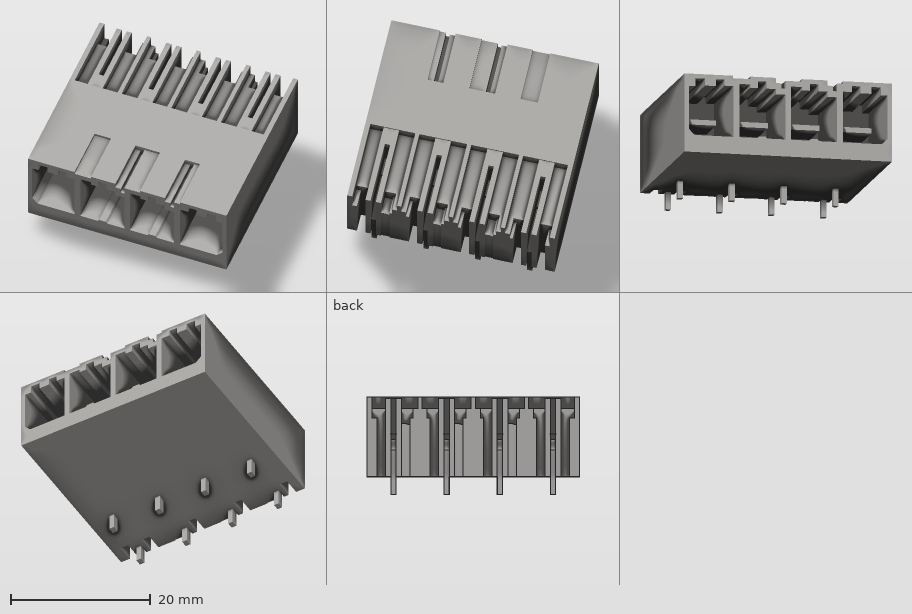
import cadquery as cq
import math

POLES = 4
PITCH = 7.62
LENGTH = POLES * PITCH
DEPTH = 28.3
HEIGHT = 11.45

CAVITY_DEPTH = 12.2
CAVITY_FLOOR = 2.5
END_CAVITY_SIDE = 0.65
END_CAVITY_INNER = 7.15
CORNER_CHAMFER = 0.85
MIDDLE_CAVITY_HALF = 3.38
KEYWAY_TOP = 10.82
CEILING = 9.8
RIDGE_BASE_HALF = 0.73
RIDGE_TOP_HALF = 0.5
RIDGE_HEIGHT = 0.27

GROOVE_LENGTH = 7.95
SHALLOW_GROOVE = 0.37
STEP_GROOVE = 0.75
DEEP_GROOVE = 1.52

BAY_LENGTH = 11.7
BAY_DEPTH = 1.68
END_WALL = 0.73
SEPARATOR = 0.6
PLATEAU_WIDTH = 2.3
PLATEAU_DROP = 0.2
OPENING_LENGTH = 2.55
UPPER_OPENING_HALF = 2.8
LOWER_OPENING_HALF = 2.38
LEDGE_DROP = 3.05
FILLER_DROP = 3.8
FILLER_SETBACK = 0.12
FILLER_ROUND_WIDTH = 0.6
FILLER_ROUND_RADIUS = 1.52

BLADE_WIDTH = 4.42
PIN_THICKNESS = 0.75
BLADE_CENTRE_HEIGHT = 5.75
BLADE_TIP = 6.1
WEB_FRONT = DEPTH - 9.2
WEB_STEP = DEPTH - 6.7
WEB_SLOPE = DEPTH - 2.8
WEB_REAR = DEPTH - 0.55
WEB_BOTTOM = 2.5
SLOPE_DROP = 1.52
LEG_WIDTH = 1.0
LEG_LENGTH = 2.53

BLADE_TOP = BLADE_CENTRE_HEIGHT + PIN_THICKNESS / 2
BLADE_BOTTOM = BLADE_TOP - PIN_THICKNESS


def pole_centre(pole):
    return (pole + 0.5) * PITCH


def box(x_range, y_range, z_range):
    """Axis-aligned block between the given limits."""
    low = [min(limits) for limits in (x_range, y_range, z_range)]
    size = [max(limits) - min(limits) for limits in (x_range, y_range, z_range)]
    return cq.Workplane("XY").box(*size, centered=False).translate(tuple(low))


def front_prism(points, length):
    """XZ outline extruded from the front face toward the rear."""
    return cq.Workplane("XZ").polyline(points).close().extrude(-length)


def end_cavity():
    """Cavity of the first pole: chamfered outer corner and two keyways."""
    outer_shoulder = 9.65
    inner_shoulder = 9.95
    outer_keyway = (1.62, 3.02)
    inner_keyway = (4.63, 5.88)
    return front_prism(
        [
            (END_CAVITY_SIDE + CORNER_CHAMFER, CAVITY_FLOOR),
            (END_CAVITY_INNER, CAVITY_FLOOR),
            (END_CAVITY_INNER, inner_shoulder),
            (inner_keyway[1], inner_shoulder),
            (inner_keyway[1], KEYWAY_TOP),
            (inner_keyway[0], KEYWAY_TOP),
            (inner_keyway[0], CEILING),
            (outer_keyway[1], CEILING),
            (outer_keyway[1], KEYWAY_TOP),
            (outer_keyway[0], KEYWAY_TOP),
            (outer_keyway[0], outer_shoulder),
            (END_CAVITY_SIDE, outer_shoulder),
            (END_CAVITY_SIDE, CAVITY_FLOOR + CORNER_CHAMFER),
        ],
        CAVITY_DEPTH,
    )


def middle_cavity(pole):
    """Cavity of an inner pole: one keyway, stepped ceiling and a ridge on the floor."""
    centre = pole_centre(pole)
    left_shoulder = 10.3
    right_shoulder = 9.05
    left_step = centre - 1.77
    right_step = centre + 1.98
    keyway_half = 0.65
    return front_prism(
        [
            (centre - MIDDLE_CAVITY_HALF, CAVITY_FLOOR),
            (centre - RIDGE_BASE_HALF, CAVITY_FLOOR),
            (centre - RIDGE_TOP_HALF, CAVITY_FLOOR + RIDGE_HEIGHT),
            (centre + RIDGE_TOP_HALF, CAVITY_FLOOR + RIDGE_HEIGHT),
            (centre + RIDGE_BASE_HALF, CAVITY_FLOOR),
            (centre + MIDDLE_CAVITY_HALF, CAVITY_FLOOR),
            (centre + MIDDLE_CAVITY_HALF, right_shoulder),
            (right_step, right_shoulder),
            (right_step, CEILING),
            (centre + keyway_half, CEILING),
            (centre + keyway_half, KEYWAY_TOP),
            (centre - keyway_half, KEYWAY_TOP),
            (centre - keyway_half, CEILING),
            (left_step, CEILING),
            (left_step, left_shoulder),
            (centre - MIDDLE_CAVITY_HALF, left_shoulder),
        ],
        CAVITY_DEPTH,
    )


def groove(x_range, depth):
    return box(x_range, (0, GROOVE_LENGTH), (HEIGHT - depth, HEIGHT))


def coding_grooves():
    """One plain shallow groove, then two grooves that are stepped on their left."""
    plain_start = 7.13
    plain_width = 2.53
    step_offset = 1.98
    deep_offset = 2.8
    shallow_offset = 3.38
    shallow_widths = {1: 2.38, 2: 0.88}

    grooves = groove((plain_start, plain_start + plain_width), SHALLOW_GROOVE)
    for pole, shallow_width in shallow_widths.items():
        step_start = pole_centre(pole) + step_offset
        deep_start = pole_centre(pole) + deep_offset
        shallow_start = pole_centre(pole) + shallow_offset
        grooves = (
            grooves
            .union(groove((step_start, deep_start), STEP_GROOVE))
            .union(groove((deep_start, shallow_start), DEEP_GROOVE))
            .union(groove((shallow_start, shallow_start + shallow_width), SHALLOW_GROOVE))
        )
    return grooves


def rear_filler(pole):
    """Block in the left part of a rear opening; a hollow arc lowers the left edge of its top."""
    left = pole_centre(pole) - LOWER_OPENING_HALF
    right = pole_centre(pole) - PLATEAU_WIDTH / 2
    top = HEIGHT - FILLER_DROP
    hollow_depth = FILLER_ROUND_RADIUS - math.sqrt(FILLER_ROUND_RADIUS**2 - FILLER_ROUND_WIDTH**2)
    outline = (
        cq.Workplane("XZ", origin=(0, DEPTH - OPENING_LENGTH, 0))
        .moveTo(left, 0)
        .lineTo(right, 0)
        .lineTo(right, top)
        .lineTo(left + FILLER_ROUND_WIDTH, top)
        .radiusArc((left, top - hollow_depth), FILLER_ROUND_RADIUS)
        .close()
    )
    return outline.extrude(-(OPENING_LENGTH - FILLER_SETBACK))


def rear_bay(pole):
    """Space of one rear bay, around the plateau that holds the pin."""
    centre = pole_centre(pole)
    first = pole == 0
    last = pole == POLES - 1
    left = END_WALL if first else pole * PITCH + SEPARATOR / 2
    right = LENGTH - END_WALL if last else (pole + 1) * PITCH - SEPARATOR / 2
    upper_left = left if first else centre - UPPER_OPENING_HALF
    upper_right = right if last else centre + UPPER_OPENING_HALF
    opening = (DEPTH - OPENING_LENGTH, DEPTH)
    bay_range = (DEPTH - BAY_LENGTH, DEPTH)

    bay = (
        box((left, right), bay_range, (HEIGHT - BAY_DEPTH, HEIGHT))
        .union(box((upper_left, upper_right), opening, (HEIGHT - LEDGE_DROP, HEIGHT)))
        .union(box((centre - LOWER_OPENING_HALF, centre + LOWER_OPENING_HALF), opening, (0, HEIGHT)))
    )
    if not first:
        bay = bay.cut(rear_filler(pole))
    half_plateau = PLATEAU_WIDTH / 2
    plateau = box((centre - half_plateau, centre + half_plateau), bay_range, (0, HEIGHT - PLATEAU_DROP))
    return bay.cut(plateau)


def contact_pin(pole):
    """Flat blade joined to an upright web with two solder legs."""
    centre = pole_centre(pole)
    half_thickness = PIN_THICKNESS / 2
    web = (
        cq.Workplane("YZ", origin=(centre - half_thickness, 0, 0))
        .polyline([
            (WEB_FRONT, -LEG_LENGTH),
            (WEB_FRONT + LEG_WIDTH, -LEG_LENGTH),
            (WEB_FRONT + LEG_WIDTH, WEB_BOTTOM),
            (WEB_REAR - LEG_WIDTH, WEB_BOTTOM),
            (WEB_REAR - LEG_WIDTH, -LEG_LENGTH),
            (WEB_REAR, -LEG_LENGTH),
            (WEB_REAR, BLADE_BOTTOM - SLOPE_DROP),
            (WEB_SLOPE, BLADE_BOTTOM),
            (WEB_STEP, BLADE_BOTTOM),
            (WEB_STEP, BLADE_TOP),
            (WEB_FRONT, BLADE_TOP),
        ])
        .close()
        .extrude(PIN_THICKNESS)
    )
    half_blade = BLADE_WIDTH / 2
    blade = box(
        (centre - half_blade, centre + half_blade), (BLADE_TIP, WEB_FRONT), (BLADE_BOTTOM, BLADE_TOP)
    )
    return web.union(blade)


def pin_slot(pole):
    """Slot above the web, open at the rear over the full height."""
    x_range = (pole_centre(pole) - PIN_THICKNESS / 2, pole_centre(pole) + PIN_THICKNESS / 2)
    above_web = box(x_range, (WEB_FRONT, DEPTH), (WEB_BOTTOM, HEIGHT))
    rear_gap = box(x_range, (WEB_REAR, DEPTH), (0, HEIGHT))
    return above_web.union(rear_gap)


def make_housing(pins):
    """Block with all cavities, grooves, bays and pin seats removed."""
    body = box((0, LENGTH), (0, DEPTH), (0, HEIGHT))
    first_cavity = end_cavity()
    last_cavity = first_cavity.mirror("YZ", (LENGTH / 2, 0, 0))
    body = body.cut(first_cavity).cut(last_cavity)
    for pole in range(1, POLES - 1):
        body = body.cut(middle_cavity(pole))
    body = body.cut(coding_grooves())
    for pole, pin in enumerate(pins):
        body = body.cut(rear_bay(pole)).cut(pin_slot(pole)).cut(pin)
    return body


contact_pins = [contact_pin(pole) for pole in range(POLES)]
housing = make_housing(contact_pins)

result = cq.Compound.makeCompound([housing.val(), *[pin.val() for pin in contact_pins]])